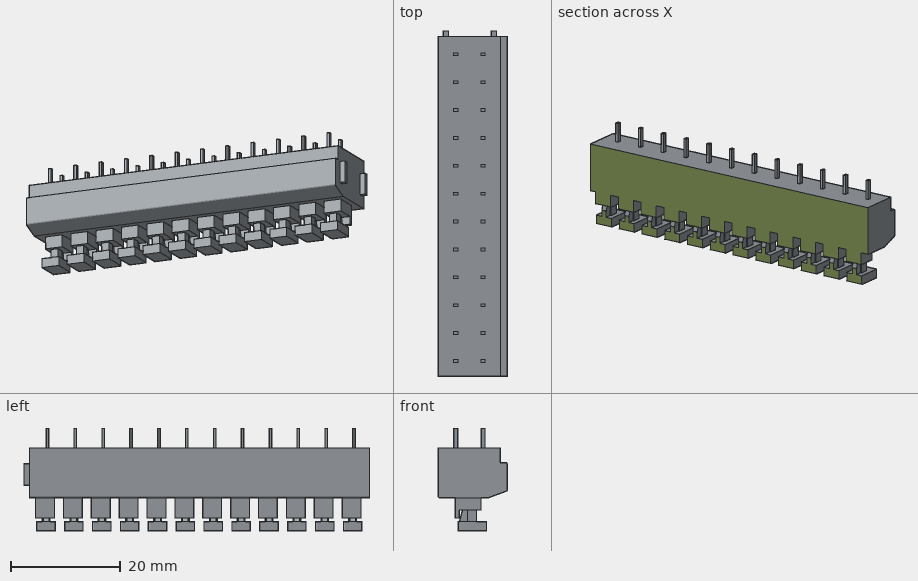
import cadquery as cq

part_length = 62.95
part_height = 18.7

contact_count = 12
contact_span = 55.85
contact_pitch = contact_span / (contact_count - 1)
first_contact_y = 2.85

body_width = 12.6
body_height = 9.05
peg_length = 1.0
body_length = part_length - peg_length
step_width = 1.25
step_depth = 2.65
slope_width = 3.4
slope_height = 1.25
body_rounding = 0.3

peg_width = 1.0
peg_height = 3.95
peg_bottom = 2.25
peg_lefts = (0.9, 9.65)

pin_width = 0.75
pin_thickness = 0.5
pin_height = 3.6
pin_centers_x = (3.2, 8.2)

guide_left = 3.1
guide_width = 4.7
guide_thickness = 3.45
guide_offset_y = 0.45
guide_depth = 2.25
guide_rounding = 0.3
tongue_width = 0.75
tongue_depth = 3.7

button_offset_y = 0.25
cap_left = 3.65
cap_width = 5.15
cap_thickness = 3.4
cap_rounding = 0.3
cap_bottom = body_height + pin_height - part_height
cap_height = 1.7
cap_top = cap_bottom + cap_height
stem_left = 5.35
stem_right = 7.0
stem_thickness = 1.45
rib_thickness = 1.0
rib_top_left = 4.4
rib_bottom_left = 3.85


def block(x, y, z, width, length, height):
    """Box with its lowest corner at (x, y, z)."""
    return cq.Workplane("XY").box(width, length, height, centered=False).translate((x, y, z))


def make_body():
    """Long body with a stepped top edge and a sloped bottom edge on its right side."""
    profile = (
        cq.Workplane("XZ")
        .lineTo(body_width - slope_width, 0)
        .lineTo(body_width, slope_height)
        .lineTo(body_width, body_height - step_depth)
        .lineTo(body_width - step_width, body_height - step_depth)
        .lineTo(body_width - step_width, body_height)
        .lineTo(0, body_height)
        .close()
    )
    body = profile.extrude(-body_length)
    rounded_corners = (
        (0, 0),
        (body_width, slope_height),
        (body_width, body_height - step_depth),
    )
    for x, z in rounded_corners:
        corner = cq.selectors.NearestToPointSelector((x, body_length / 2, z))
        body = body.edges(corner).fillet(body_rounding)
    return body


def make_peg(left):
    """Mating peg with its left side at X = left, standing out of the back end."""
    return block(left, body_length, peg_bottom, peg_width, peg_length, peg_height)


def make_pin(x, y):
    """Solder pin centred at (x, y), standing on the top face."""
    return block(x - pin_width / 2, y - pin_thickness / 2, body_height, pin_width, pin_thickness, pin_height)


def make_guide(y):
    """Button guide centred at y, with a longer tongue along its left side."""
    front = y - guide_thickness / 2
    guide = block(guide_left, front, -guide_depth, guide_width, guide_thickness, guide_depth)
    tongue = block(guide_left, front, -tongue_depth, tongue_width, guide_thickness, tongue_depth)
    return guide.union(tongue).edges("|Z and <Y and (<X or >X)").fillet(guide_rounding)


def make_button(y):
    """Button centred at y: stem, sloped rib and cap."""
    cap = block(cap_left, y - cap_thickness / 2, cap_bottom, cap_width, cap_thickness, cap_height)
    cap = cap.edges("|Z and <X and >Y").fillet(cap_rounding)
    stem = block(
        stem_left, y - stem_thickness / 2, cap_top,
        stem_right - stem_left, stem_thickness, -guide_depth - cap_top,
    )
    rib = (
        cq.Workplane("XZ", origin=(0, y, 0))
        .moveTo(stem_left, cap_top)
        .lineTo(rib_bottom_left, cap_top)
        .lineTo(rib_top_left, -guide_depth)
        .lineTo(stem_left, -guide_depth)
        .close()
        .extrude(rib_thickness / 2, both=True)
    )
    return cap.union(stem).union(rib)


result = make_body()
for peg_left in peg_lefts:
    result = result.union(make_peg(peg_left))
for index in range(contact_count):
    contact_y = first_contact_y + index * contact_pitch
    for pin_x in pin_centers_x:
        result = result.union(make_pin(pin_x, contact_y))
    result = result.union(make_guide(contact_y + guide_offset_y))
    result = result.union(make_button(contact_y + button_offset_y))